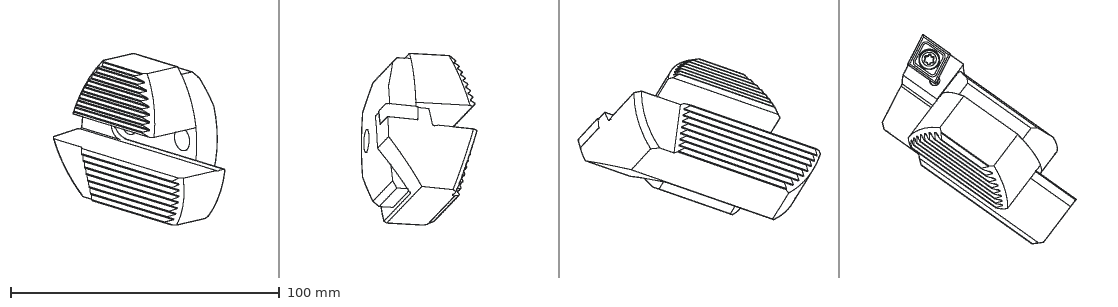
import cadquery as cq
import math

HALF_HEIGHT = 27.5
ARC_RADIUS = 40.0
SLOT_HALF = 6.15
SPAN = 200.0

LENS_HALF_WIDTH = 23.4
LENS_OFFSET = ARC_RADIUS - LENS_HALF_WIDTH

PLATE_THICKNESS = 10.1
PLATE_HALF_HEIGHT = 25.0
PLATE_FLAT_HALF = 12.4
PLATE_SHOULDER = (7.35, 22.7)
PLATE_RIM_Y = 5.35
HOLE_DIAMETER = 8.6
HOLE_SPACING = 30.0

FACE_SLOPE = math.tan(math.radians(15.0))
TOOTH_COUNT = 8
TOOTH_PITCH = (HALF_HEIGHT - SLOT_HALF) / TOOTH_COUNT
TIP_Y = -23.41
TIP_Z = 7.55
FLAT_HEIGHT = 0.4
TOOTH_DEPTH = 1.9
TOOTH_RISE = 0.54
PAD_CHAMFER = 3.0

SIDE_ANGLE = math.radians(10.0)
SIDE_SLOPE = math.tan(SIDE_ANGLE)
PAD_LEFT_X = -18.0
PAD_STEP = 2.95
HOLDER_CHAMFER = 1.85
TOWER_TOP_Z = -0.3
TOWER_BACK_Y = 15.75
TOWER_BACK_SLOPE = math.tan(math.radians(6.0))
TOWER_FRONT_Y = -1.0
TOWER_RIGHT_X = -24.1
TOWER_FILLET = 7.0
BACK_CUT_Z = -12.1
PLATE_GAP = 0.7
LEDGE_Z = -6.3
LEDGE_CHAMFER = 0.45
GROOVE_FRONT_Y = -4.9
GROOVE_BOTTOM = (-3.55, -6.5)

INSCRIBED = 12.7
INSERT_THICKNESS = 4.9
INSERT_CORNER = (-43.09, 15.99)
INSERT_RELIEF = INSERT_THICKNESS * math.tan(math.radians(7.0))
NOSE_RADIUS = 0.2
POCKET_OVERRUN = 2.0
RAMP_WIDTH = 0.65
ISLAND_FOOT = 1.3
ISLAND_TOP = 2.0
ISLAND_RADIUS = 1.8
CHIP_DEPTH = 0.3
RELIEF_CENTER = (-29.1, 4.3)
RELIEF_TOP_RADIUS = 2.0
RELIEF_BOTTOM_RADIUS = 1.0

BORE_RADIUS = 3.85
HEAD_RADIUS = 3.6
HEAD_LAND_RADIUS = 2.66
HEAD_RIM_DROP = 0.7
HEAD_RIM_BOTTOM = -1.2
HEAD_CONE_BOTTOM = -2.8
SHANK_RADIUS = 2.4
SCREW_END_Z = -12.0
LOBE_COUNT = 6
LOBE_CIRCLE = 1.5
LOBE_RADIUS = 0.5
RECESS_DEPTH = 1.6


def arc_x(z, offset=0.0):
    """Distance from x = 0 of a flank arc whose centre is shifted past the middle by offset."""
    return math.sqrt(ARC_RADIUS ** 2 - z ** 2) - offset


def tip_plane_y(z):
    """y of the slanted plane through the tooth tips at height |z|."""
    return TIP_Y + (abs(z) - TIP_Z) * FACE_SLOPE


def yz_prism(points):
    return cq.Workplane("YZ").polyline(points).close().extrude(SPAN, both=True)


def lens_prism(bottom, top, gap=0.0):
    """Bar along y between two mirrored flank arcs, cut off flat at bottom and top."""
    offset = LENS_OFFSET - gap
    middle = (bottom + top) / 2
    return (
        cq.Workplane("XZ")
        .moveTo(-arc_x(bottom, offset), bottom)
        .lineTo(arc_x(bottom, offset), bottom)
        .threePointArc((arc_x(middle, offset), middle), (arc_x(top, offset), top))
        .lineTo(-arc_x(top, offset), top)
        .threePointArc((-arc_x(middle, offset), middle), (-arc_x(bottom, offset), bottom))
        .close()
        .extrude(SPAN, both=True)
    )


def slanted_front(back_y):
    """Block above the slot whose front is the plane through the tooth tips."""
    return yz_prism([
        (back_y, SLOT_HALF),
        (tip_plane_y(SLOT_HALF), SLOT_HALF),
        (tip_plane_y(HALF_HEIGHT), HALF_HEIGHT),
        (back_y, HALF_HEIGHT),
    ])


def serration_block(back_y):
    """Block above the slot with the row of saw teeth on its front."""
    fall_height = TOOTH_PITCH - TOOTH_RISE - 2 * FLAT_HEIGHT
    fall_depth = TOOTH_DEPTH - (TOOTH_RISE + fall_height) * FACE_SLOPE
    points = [
        (back_y, SLOT_HALF),
        (TIP_Y + (TIP_Z - SLOT_HALF) * fall_depth / fall_height, SLOT_HALF),
    ]
    for tooth in range(TOOTH_COUNT):
        tip_z = TIP_Z + tooth * TOOTH_PITCH
        root_z = tip_z + FLAT_HEIGHT + TOOTH_RISE
        root_y = tip_plane_y(tip_z + FLAT_HEIGHT) + TOOTH_DEPTH
        points.append((tip_plane_y(tip_z), tip_z))
        points.append((tip_plane_y(tip_z + FLAT_HEIGHT), tip_z + FLAT_HEIGHT))
        points.append((root_y, root_z))
        points.append((root_y + FLAT_HEIGHT * FACE_SLOPE, root_z + FLAT_HEIGHT))
    points.pop()
    points.append((tip_plane_y(HALF_HEIGHT) + TOOTH_DEPTH, HALF_HEIGHT))
    points.append((back_y, HALF_HEIGHT))
    return yz_prism(points)


def make_plate():
    shoulder_y, shoulder_z = PLATE_SHOULDER
    upper = [
        (PLATE_THICKNESS, PLATE_FLAT_HALF),
        (shoulder_y, shoulder_z),
        (PLATE_RIM_Y, PLATE_HALF_HEIGHT),
        (0, PLATE_HALF_HEIGHT),
    ]
    lower = [(y, -z) for y, z in reversed(upper)]
    plate = lens_prism(-PLATE_HALF_HEIGHT, PLATE_HALF_HEIGHT).intersect(yz_prism(upper + lower))
    holes = (
        cq.Workplane("XZ")
        .pushPoints([(-HOLE_SPACING / 2, 0), (HOLE_SPACING / 2, 0)])
        .circle(HOLE_DIAMETER / 2)
        .extrude(SPAN, both=True)
    )
    return plate.cut(holes)


def make_upper_jaw():
    blank = lens_prism(SLOT_HALF, HALF_HEIGHT).intersect(slanted_front(0))
    blank = blank.edges("%ELLIPSE").chamfer(PAD_CHAMFER)
    return blank.intersect(serration_block(0))


def left_flank_block():
    """Everything right of the left flank, an arc carried along the slanted side direction."""
    start_y = 30.0
    shift = -start_y * SIDE_SLOPE
    profile = (
        cq.Workplane("XZ", origin=(shift, start_y, 0))
        .moveTo(-arc_x(HALF_HEIGHT), -HALF_HEIGHT)
        .threePointArc((-arc_x(HALF_HEIGHT / 2), -HALF_HEIGHT / 2), (-ARC_RADIUS, 0))
        .lineTo(SPAN, 0)
        .lineTo(SPAN, -HALF_HEIGHT)
        .close()
    )
    length = 2 * start_y
    side_direction = cq.Vector(length * SIDE_SLOPE, -length, 0)
    face = cq.Face.makeFromWires(profile.wires().val())
    return cq.Workplane(cq.Solid.extrudeLinear(face, side_direction))


def right_flank_block():
    """Everything left of the right flank arc."""
    return (
        cq.Workplane("XZ")
        .moveTo(arc_x(HALF_HEIGHT), -HALF_HEIGHT)
        .threePointArc((arc_x(HALF_HEIGHT / 2), -HALF_HEIGHT / 2), (ARC_RADIUS, 0))
        .lineTo(-SPAN, 0)
        .lineTo(-SPAN, -HALF_HEIGHT)
        .close()
        .extrude(SPAN, both=True)
    )


def holder_section():
    """Side section of the holder: tower, groove, slanted front and the cut underneath."""
    back_cut_y = TOWER_BACK_Y + (BACK_CUT_Z - TOWER_TOP_Z) * TOWER_BACK_SLOPE
    tower_foot_y = TOWER_FRONT_Y - (TOWER_TOP_Z - LEDGE_Z) * FACE_SLOPE
    return yz_prism([
        (TOWER_BACK_Y, TOWER_TOP_Z),
        (TOWER_FRONT_Y, TOWER_TOP_Z),
        (tower_foot_y, LEDGE_Z),
        GROOVE_BOTTOM,
        (GROOVE_FRONT_Y, -SLOT_HALF),
        (tip_plane_y(SLOT_HALF), -SLOT_HALF),
        (tip_plane_y(HALF_HEIGHT), -HALF_HEIGHT),
        (back_cut_y - (HALF_HEIGHT + BACK_CUT_Z), -HALF_HEIGHT),
        (back_cut_y, BACK_CUT_Z),
    ])


def plate_seat():
    """Room for the plate: the part of the holder behind y = 0 stays left of the plate edge."""
    behind = cq.Workplane("XY").box(SPAN, SPAN, SPAN, centered=(True, False, True))
    edge = lens_prism(-HALF_HEIGHT, HALF_HEIGHT, PLATE_GAP).intersect(behind)
    right_side = behind.translate((SPAN / 2, 0, 0))
    return edge.union(right_side)


def tower_end():
    """Removes the tower right of its end face, leaving a fillet down to the ledge."""
    block = (
        cq.Workplane("XY", origin=(TOWER_RIGHT_X, 0, LEDGE_Z))
        .box(SPAN, -GROOVE_BOTTOM[0], SPAN, centered=(False, False, False))
        .edges("|Y and <X and <Z")
        .fillet(TOWER_FILLET)
    )
    return block.translate((0, GROOVE_BOTTOM[0], 0))


def holder_face_step():
    """Space in front of the plain holder face, left of the serrated pad, with a 45 degree wall."""
    face_y = tip_plane_y(SLOT_HALF) + PAD_STEP
    outline = (
        cq.Workplane("XY", origin=(0, 0, -SLOT_HALF))
        .polyline([
            (-SPAN, face_y),
            (PAD_LEFT_X, face_y),
            (PAD_LEFT_X + 2 * PAD_STEP, face_y - 2 * PAD_STEP),
            (-SPAN, face_y - 2 * PAD_STEP),
        ])
        .close()
    )
    height = HALF_HEIGHT
    face = cq.Face.makeFromWires(outline.wires().val())
    return cq.Workplane(cq.Solid.extrudeLinear(face, cq.Vector(0, height * FACE_SLOPE, -height)))


def ledge_chamfer():
    """Small bevel along the edge between the ledge and the plate."""
    return (
        cq.Workplane("YZ", origin=(TOWER_RIGHT_X + TOWER_FILLET, 0, 0))
        .polyline([(0, LEDGE_Z), (0, LEDGE_Z - LEDGE_CHAMFER), (-LEDGE_CHAMFER, LEDGE_Z)])
        .close()
        .extrude(SPAN)
    )


def make_lower_jaw():
    jaw = left_flank_block().intersect(right_flank_block()).intersect(holder_section())
    jaw = jaw.edges("%ELLIPSE").edges("<Y").chamfer(PAD_CHAMFER)
    jaw = jaw.cut(holder_face_step())
    middle_z = -(SLOT_HALF + HALF_HEIGHT) / 2
    face_y = tip_plane_y(middle_z) + PAD_STEP
    corner = (-arc_x(middle_z) - face_y * SIDE_SLOPE, face_y, middle_z)
    jaw = jaw.edges(cq.NearestToPointSelector(corner)).chamfer(HOLDER_CHAMFER)
    teeth = serration_block(GROOVE_FRONT_Y).mirror("XY")
    rear = cq.Workplane("XY").box(SPAN, SPAN, SPAN, centered=(True, False, True))
    plain_left = cq.Workplane("XY").box(SPAN, 2 * SPAN, SPAN).translate((PAD_LEFT_X - SPAN / 2, 0, 0))
    keep = teeth.union(rear.translate((0, GROOVE_FRONT_Y, 0))).union(plain_left)
    jaw = jaw.intersect(keep)
    jaw = jaw.cut(plate_seat()).cut(tower_end()).cut(ledge_chamfer())
    relief = cq.Solid.makeCone(
        RELIEF_BOTTOM_RADIUS,
        RELIEF_TOP_RADIUS,
        INSERT_THICKNESS,
        cq.Vector(*RELIEF_CENTER, -INSERT_THICKNESS),
    )
    return jaw.cut(cq.Workplane(relief)).cut(insert_pocket()).cut(screw_body(HEAD_RADIUS))


def rhombus(left_inset, back_inset, right_inset, front_inset):
    """Corners of the insert outline with each side moved inwards by its own distance."""
    corner_x, corner_y = INSERT_CORNER
    back = corner_y - back_inset
    front = corner_y - INSCRIBED + front_inset
    slant = 1 / math.cos(SIDE_ANGLE)

    def side_x(y, inset):
        return corner_x + (corner_y - y) * SIDE_SLOPE + inset * slant

    return [
        (side_x(back, left_inset), back),
        (side_x(back, INSCRIBED - right_inset), back),
        (side_x(front, INSCRIBED - right_inset), front),
        (side_x(front, left_inset), front),
    ]


def rhombus_frustum(top_insets, bottom_insets, height):
    return (
        cq.Workplane("XY", origin=(0, 0, -height))
        .polyline(rhombus(*bottom_insets))
        .close()
        .workplane(offset=height)
        .polyline(rhombus(*top_insets))
        .close()
        .loft(ruled=True)
    )


def insert_blank():
    """Insert with relief on the two cutting flanks; the two seated flanks are upright."""
    blank = rhombus_frustum((0, 0, 0, 0), (INSERT_RELIEF, INSERT_RELIEF, 0, 0), INSERT_THICKNESS)
    return blank.edges("not #Z").fillet(NOSE_RADIUS)


def insert_pocket():
    """Seat for the insert, open at the two cutting flanks."""
    outline = (-POCKET_OVERRUN, -POCKET_OVERRUN, 0, 0)
    return rhombus_frustum(outline, outline, INSERT_THICKNESS)


def make_insert():
    bowl = rhombus_frustum((0.0,) * 4, (RAMP_WIDTH,) * 4, CHIP_DEPTH)
    foot = rhombus(*(ISLAND_FOOT,) * 4)
    island_taper = math.degrees(math.atan2(ISLAND_TOP - ISLAND_FOOT, CHIP_DEPTH))
    island = (
        cq.Workplane("XY", origin=(0, 0, -CHIP_DEPTH))
        .sketch()
        .polygon(foot + foot[:1])
        .vertices()
        .fillet(ISLAND_RADIUS)
        .finalize()
        .extrude(CHIP_DEPTH, taper=island_taper)
    )
    return insert_blank().cut(bowl.cut(island)).cut(screw_body(BORE_RADIUS))


def screw_center():
    corners = rhombus(0, 0, 0, 0)
    return (
        sum(x for x, y in corners) / len(corners),
        sum(y for x, y in corners) / len(corners),
    )


def screw_body(head_radius):
    """Plain screw shape; a larger head radius gives the bore that leaves a gap around the head."""
    profile = [
        (0, SCREW_END_Z),
        (SHANK_RADIUS, SCREW_END_Z),
        (SHANK_RADIUS, HEAD_CONE_BOTTOM),
        (head_radius, HEAD_RIM_BOTTOM),
        (head_radius, 0),
        (0, 0),
    ]
    body = cq.Workplane("XZ").polyline(profile).close().revolve(360, (0, 0), (0, 1))
    return body.translate((*screw_center(), 0))


def make_screw():
    rim_bevel = (
        cq.Workplane("XZ")
        .polyline([(HEAD_LAND_RADIUS, 0), (HEAD_RADIUS, -HEAD_RIM_DROP), (HEAD_RADIUS, 0)])
        .close()
        .revolve(360, (0, 0), (0, 1))
    )
    recess = cq.Workplane("XY").circle(LOBE_CIRCLE).extrude(-RECESS_DEPTH)
    lobes = (
        cq.Workplane("XY")
        .polarArray(LOBE_CIRCLE, 0, 360, LOBE_COUNT)
        .circle(LOBE_RADIUS)
        .extrude(-RECESS_DEPTH)
    )
    drive = recess.union(lobes).union(rim_bevel).translate((*screw_center(), 0))
    return screw_body(HEAD_RADIUS).cut(drive)


plate = make_plate()
upper_jaw = make_upper_jaw()
lower_jaw = make_lower_jaw()
insert = make_insert()
screw = make_screw()

result = cq.Compound.makeCompound([
    plate.val(),
    upper_jaw.val(),
    lower_jaw.val(),
    insert.val(),
    screw.val(),
])